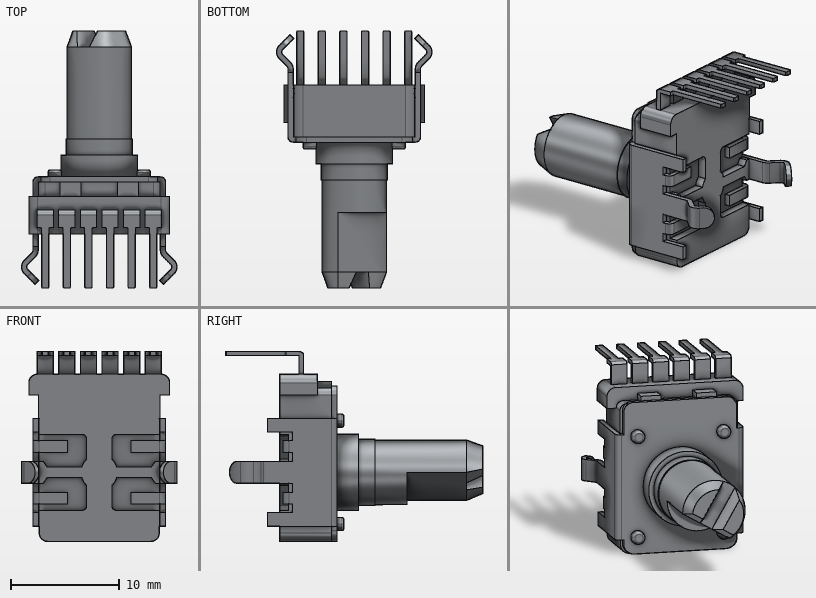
import cadquery as cq
import math


shaft_radius = 3.0
shaft_tip = 13.5
journal_radius = 3.07
journal_end = 3.5
flat_offset = shaft_radius / 2
flat_length = 7.0
tip_chamfer_length = 1.5
tip_chamfer_depth = 0.55
notch_mouth = 2.2
notch_floor = 1.29
shaft_turn = -30

sheet = 0.5
cover_half_width = 5.4
cover_bottom = -6.4
cover_top = 8.0
cover_top_corner = 0.85
cover_bottom_corner = 1.0
collar_radius = 3.55
collar_end = 2.0
stud_x = 4.12
stud_z = 4.78
stud_radius = 0.62
stud_height = 0.65
stud_rounding = 0.24

side_inner_x = 5.65
side_half_height = 5.0
side_end = -4.15
leg_end = -6.45
leg_width = 1.29
clip_half_height = 1.02
clip_span = 14.4
clip_reach = clip_span / 2
clip_bend_start = -6.78
clip_bend_radius = 0.35
clip_tip_length = 1.43
tab_low = 1.85
tab_high = 2.93
tab_inner_end = 2.95
tab_bend_radius = 0.57
bend_inner_radius = tab_bend_radius - sheet

housing_front = -sheet
housing_back = -5.3
housing_half_width = 5.57
shoulder_z = side_half_height
flange_front = -1.8
flange_half_width = 6.52
flange_bottom = 7.15
flange_top = 9.1
housing_corner = 0.8
front_top = 7.8
front_corner = 0.65
rib_top = 8.43
rib_inner = 1.7
rib_outer = 3.62

pocket_depth = 0.8
pocket_inner = 1.17
pocket_top = 3.52
pocket_corner = 0.45
pocket_bottom = 0.5
pocket_hub_radius = 1.7
pocket_step_z = clip_half_height
pocket_step_start = 4.83
pocket_step_end = 5.2

pin_count = 6
pin_pitch = 2.0
pin_top = 11.19
pin_end = -10.3
pin_front = -3.1
pin_riser_thickness = 0.43
pin_blade_thickness = 0.38
pin_bend_radius = 0.52
pin_head_width = 1.5
pin_shoulder = -4.71
pin_shoulder_rounding = 0.12
pin_width = 0.7
pin_tip_chamfer = 0.1


def block(x, y, z):
    """Box between two limits along each axis."""
    size = [abs(b - a) for a, b in (x, y, z)]
    centre = [(a + b) / 2 for a, b in (x, y, z)]
    return cq.Workplane("XY").box(*size).translate(tuple(centre))


def section(y):
    """Plane across the shaft axis; a positive extrusion runs toward -Y."""
    return cq.Workplane("XZ", origin=(0, y, 0))


def both_sides(body):
    """The body together with its mirror image across the middle plane X = 0."""
    return body.union(body.mirror("YZ"))


def make_shaft():
    """D-shaped stem with a tapered, notched tip on a plain journal."""
    taper_start = shaft_tip - tip_chamfer_length
    stem = (
        cq.Workplane("XY")
        .moveTo(0, journal_end)
        .lineTo(shaft_radius, journal_end)
        .lineTo(shaft_radius, taper_start)
        .lineTo(shaft_radius - tip_chamfer_depth, shaft_tip)
        .lineTo(0, shaft_tip)
        .close()
        .revolve(360, (0, 0, 0), (0, 1, 0))
    )
    flat = (
        cq.Workplane("YZ")
        .moveTo(shaft_tip - flat_length, -shaft_radius)
        .lineTo(shaft_tip - flat_length, -flat_offset)
        .lineTo(taper_start, -flat_offset)
        .lineTo(shaft_tip, tip_chamfer_depth - flat_offset)
        .lineTo(shaft_tip, -shaft_radius)
        .close()
        .extrude(shaft_radius, both=True)
    )
    notch = (
        cq.Workplane("XY", origin=(0, 0, -shaft_radius))
        .moveTo(-notch_mouth / 2, shaft_tip)
        .lineTo(notch_mouth / 2, shaft_tip)
        .lineTo(notch_floor / 2, taper_start)
        .lineTo(-notch_floor / 2, taper_start)
        .close()
        .extrude(2 * shaft_radius)
    )
    journal = section(journal_end).circle(journal_radius).extrude(journal_end + sheet)
    return stem.cut(flat).cut(notch).union(journal).rotate((0, 0, 0), (0, 1, 0), shaft_turn)


def make_clip():
    """Spring leg on the -X side: straight, 45 degrees outward, then 45 degrees back to a round tip."""
    mid_radius = clip_bend_radius + sheet / 2
    sine = math.sin(math.pi / 4)
    mid_x = -side_inner_x - sheet / 2
    apex_x = -clip_reach + sheet / 2
    bow = mid_radius * (1 - sine)
    slope = apex_x + 2 * bow - mid_x
    bend_end = (mid_x - bow, clip_bend_start - mid_radius * sine)
    apex_start = (mid_x + slope - bow, bend_end[1] + slope)
    apex_middle = (apex_x, apex_start[1] - mid_radius * sine)
    apex_end = (apex_start[0], apex_start[1] - 2 * mid_radius * sine)
    half_bend = math.pi / 8
    path = (
        cq.Workplane("XY")
        .moveTo(mid_x, side_end)
        .lineTo(mid_x, clip_bend_start)
        .threePointArc(
            (
                mid_x - mid_radius * (1 - math.cos(half_bend)),
                clip_bend_start - mid_radius * math.sin(half_bend),
            ),
            bend_end,
        )
        .lineTo(*apex_start)
        .threePointArc(apex_middle, apex_end)
    )
    strip = (
        cq.Workplane("XZ", origin=(mid_x, side_end, 0))
        .rect(sheet, 2 * clip_half_height)
        .sweep(path)
    )
    tip_plane = cq.Plane(
        origin=(apex_end[0], apex_end[1], 0), xDir=(sine, -sine, 0), normal=(sine, sine, 0)
    )
    straight = clip_tip_length - clip_half_height
    tip = (
        cq.Workplane(tip_plane)
        .moveTo(0, -clip_half_height)
        .lineTo(straight, -clip_half_height)
        .threePointArc((clip_tip_length, 0), (straight, clip_half_height))
        .lineTo(0, clip_half_height)
        .close()
        .extrude(sheet / 2, both=True)
    )
    return strip.union(tip)


def make_tab():
    """Tab on the -X side above the axis, bent inward round the edge of the housing onto a pocket floor."""
    outer_x = -side_inner_x - sheet
    back = housing_back + pocket_depth - sheet
    bend_x = outer_x + tab_bend_radius
    bend_y = back + tab_bend_radius
    sine = math.sin(math.pi / 4)
    return (
        cq.Workplane("XY", origin=(0, 0, tab_low))
        .moveTo(outer_x, side_end)
        .lineTo(outer_x, bend_y)
        .threePointArc((bend_x - tab_bend_radius * sine, bend_y - tab_bend_radius * sine), (bend_x, back))
        .lineTo(-tab_inner_end, back)
        .lineTo(-tab_inner_end, back + sheet)
        .lineTo(bend_x, back + sheet)
        .threePointArc(
            (bend_x - bend_inner_radius * sine, bend_y - bend_inner_radius * sine),
            (-side_inner_x, bend_y),
        )
        .lineTo(-side_inner_x, side_end)
        .close()
        .extrude(tab_high - tab_low)
    )


def make_side():
    """Side plate on the -X side with two straight legs, a spring leg and two tabs."""
    outer_x = -side_inner_x - sheet
    across = (outer_x, outer_x + sheet)
    plate = block(across, (side_end, 0), (-side_half_height, side_half_height))
    bridge = block((-side_inner_x, -cover_half_width), (-sheet, 0), (-side_half_height, side_half_height))
    plate = plate.union(bridge).edges("|Z and >Y and <X").fillet(sheet)
    leg = block(across, (leg_end, side_end), (side_half_height - leg_width, side_half_height))
    tab = make_tab()
    for part in (leg, leg.mirror("XY"), tab, tab.mirror("XY"), make_clip()):
        plate = plate.union(part)
    return plate


def make_cover():
    """Front plate with a bored collar, four studs and bent-back side plates."""
    plate = block((-cover_half_width, cover_half_width), (-sheet, 0), (cover_bottom, cover_top))
    plate = plate.edges("|Y and >Z").fillet(cover_top_corner)
    plate = plate.edges("|Y and <Z").fillet(cover_bottom_corner)
    collar = section(collar_end).circle(collar_radius).extrude(collar_end)
    cover = plate.union(collar).union(both_sides(make_side()))
    stud = section(stud_height).circle(stud_radius).extrude(stud_height)
    stud = stud.faces(">Y").edges().fillet(stud_rounding)
    for x in (-stud_x, stud_x):
        for z in (-stud_z, stud_z):
            cover = cover.union(stud.translate((x, 0, z)))
    bore = section(collar_end).circle(journal_radius).extrude(collar_end + sheet)
    return cover.cut(bore)


def make_pocket():
    """Pocket on the -X side above the axis, open at the side and rounded off round the axis."""
    pocket = (
        section(housing_back + pocket_depth)
        .moveTo(-side_inner_x, pocket_top)
        .lineTo(-pocket_inner, pocket_top)
        .lineTo(-pocket_inner, pocket_bottom)
        .lineTo(-pocket_step_start, pocket_bottom)
        .lineTo(-pocket_step_end, pocket_step_z)
        .lineTo(-side_inner_x, pocket_step_z)
        .close()
        .extrude(pocket_depth)
    )
    hub = section(housing_back + pocket_depth).circle(pocket_hub_radius).extrude(pocket_depth)
    return pocket.edges("|Y and >X and >Z").fillet(pocket_corner).cut(hub)


def make_housing():
    """Moulded block with a terminal flange at the top, two front ribs and four rear pockets."""
    length = (housing_back, housing_front)
    body = block((-housing_half_width, housing_half_width), length, (cover_bottom, shoulder_z))
    body = body.edges("|Y and <Z").fillet(housing_corner)
    upper = block((-side_inner_x, side_inner_x), length, (shoulder_z, front_top))
    upper = upper.edges("|Y and >Z").fillet(front_corner)
    flange = block(
        (-flange_half_width, flange_half_width), (housing_back, flange_front), (flange_bottom, flange_top)
    )
    flange = flange.edges("|Y and >Z").fillet(housing_corner)
    rib = block((-rib_outer, -rib_inner), (flange_front, housing_front), (flange_bottom, rib_top))
    housing = body.union(upper).union(flange).union(both_sides(rib))
    pockets = both_sides(make_pocket())
    return housing.cut(pockets).cut(pockets.mirror("XY"))


def make_pin(x):
    """Upright riser bent into a flat blade, whose wide head narrows to a stem."""
    bend_y = pin_front - pin_riser_thickness
    bend_z = pin_top - pin_bend_radius
    bend_angle = math.acos(pin_riser_thickness / pin_bend_radius)
    middle_angle = (bend_angle + math.pi / 2) / 2
    head = (
        cq.Workplane("YZ")
        .moveTo(bend_y, flange_top)
        .lineTo(pin_front, flange_top)
        .lineTo(pin_front, bend_z + pin_bend_radius * math.sin(bend_angle))
        .threePointArc(
            (
                bend_y + pin_bend_radius * math.cos(middle_angle),
                bend_z + pin_bend_radius * math.sin(middle_angle),
            ),
            (bend_y, pin_top),
        )
        .lineTo(pin_shoulder, pin_top)
        .lineTo(pin_shoulder, pin_top - pin_blade_thickness)
        .lineTo(bend_y, pin_top - pin_blade_thickness)
        .close()
        .extrude(pin_head_width / 2, both=True)
    )
    stem = block(
        (-pin_width / 2, pin_width / 2), (pin_end, pin_shoulder), (pin_top - pin_blade_thickness, pin_top)
    )
    stem = stem.edges("|Z and <Y").chamfer(pin_tip_chamfer)
    inner_corners = cq.selectors.BoxSelector(
        (-pin_width, pin_shoulder - pin_shoulder_rounding, flange_top),
        (pin_width, pin_shoulder + pin_shoulder_rounding, pin_top),
    )
    pin = head.union(stem).edges("|Z").edges(inner_corners).fillet(pin_shoulder_rounding)
    return pin.translate((x, 0, 0))


shaft = make_shaft()
cover = make_cover()
housing = make_housing()
pins = [make_pin((i - (pin_count - 1) / 2) * pin_pitch) for i in range(pin_count)]

result = cq.Compound.makeCompound(
    [shaft.val(), cover.val(), housing.val(), *(pin.val() for pin in pins)]
)